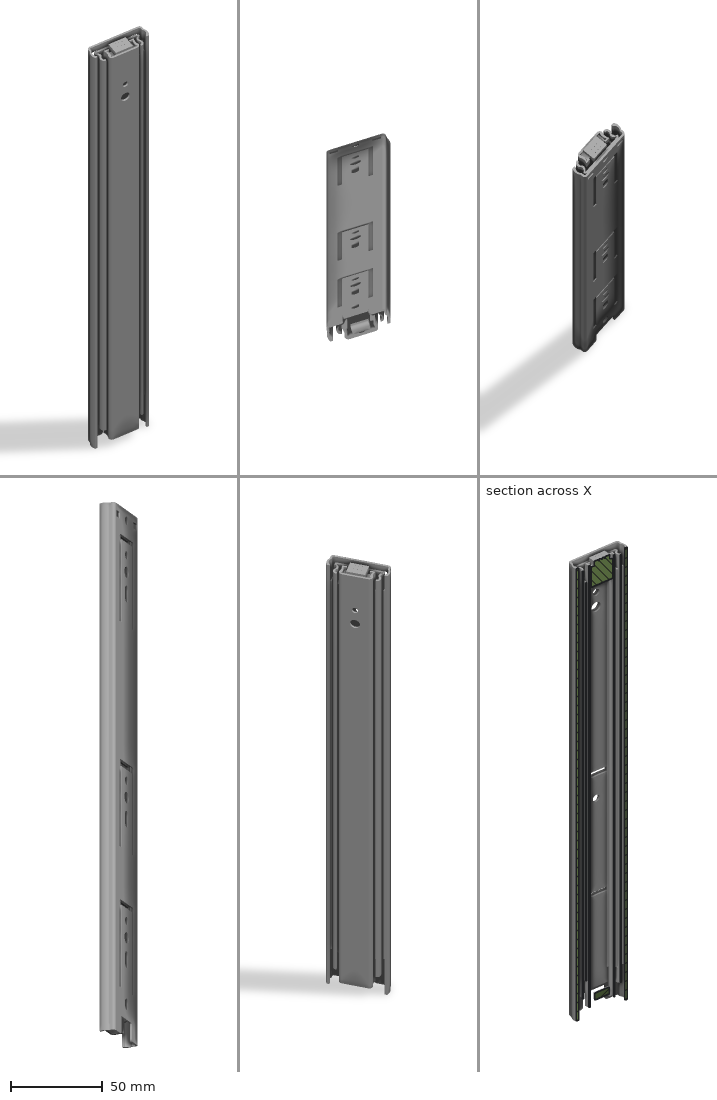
import cadquery as cq


LENGTH = 300.0
WIDTH = 36.0
DEPTH = 12.5
SHEET = 1.2
CUT = 2 * DEPTH

MIDDLE_BOTTOM = 13.0
MIDDLE_TOP = 296.7
INNER_BOTTOM = 5.5
INNER_TOP = 298.5

OUTER_HALF = WIDTH / 2
OUTER_SIDE = 17.0
OUTER_CORNER = 1.8
OUTER_RACE_START = 3.3
OUTER_DEPTH = 9.0
OUTER_LIP = 15.5

MIDDLE_BACK = 1.8
MIDDLE_HALF = 13.5
MIDDLE_SHOULDER = 14.5
MIDDLE_CORNER = 1.8
MIDDLE_RACE_BOTTOM = 12.5
MIDDLE_RACE_END = 7.5
MIDDLE_FRONT = 10.8
MIDDLE_FRONT_CORNER = 2.0
MIDDLE_LIP = 11.0

INNER_HALF = 9.5
INNER_CORNER = 2.0
INNER_BACK = 5.5
INNER_LIP = 6.5
INNER_LIP_THICKNESS = 1.0
INNER_RACE_DIP = 0.5

TABS = [(284.0, 2.7), (156.0, 3.5), (76.2, 2.7)]
TAB_HALF = 7.5
TAB_LENGTH = 49.8
TAB_GROOVE_WIDTH = 2.7
TAB_GROOVE_DEPTH = 0.5
TAB_GROOVE_CORNER = 1.8
SCREW_HOLE = 4.5
SCREW_HOLE_DROP = 10.0
ACCESS_HOLE = 6.3
ACCESS_HOLE_DROP = 19.5
SLOT_LENGTH = 9.3
SLOT_DROP = 31.8
INNER_SCREW_HOLE = 3.5
INNER_ACCESS_HOLE = 5.7
MIDDLE_RIVET_HOLE = 4.5
MIDDLE_RIVET_HOLE_Z = 137.7

TOP_HOLE_Z = 294.0
END_SLOT_Z = 19.0
END_SLOT_LENGTH = 6.3
WINDOW_INSIDE = 10.0
WINDOW_OUTSIDE = 14.7
WINDOW_BOTTOM = 292.5
WINDOW_HEIGHT = 3.5
NOTCH_HALF = 7.5
NOTCH_HEIGHT = 10.2
NOTCH_FILLET = 1.5

LUG_HALF = 5.0
LUG_BACK = 7.2
LUG_BOTTOM = 8.0
LUG_TOP = 13.5
LUG_ROUND = 2.5
DIMPLE_DIAMETER = 3.5
DIMPLE_DEPTH = 0.5

BLOCK_HALF = 5.5
BLOCK_BACK = 3.5
BLOCK_BOTTOM = 283.2
BLOCK_SHOULDER_HALF = 7.5
BLOCK_SHOULDER_BACK = 6.5
BLOCK_SHOULDER_TOP = 297.0
BLOCK_PIT_DIAMETER = 0.45
BLOCK_PIT_DEPTH = 1.0
BLOCK_PIT_PITCH_X = 2.7
BLOCK_PIT_PITCH_Y = 2.0
BLOCK_PIT_CENTER_X = 6.5

RETAINER_BOTTOM = 24.0
RETAINER_TOP = 288.0
OUTER_RETAINER_BACK = 4.0
OUTER_RETAINER_FRONT = 7.5
OUTER_RETAINER_INSIDE = 14.7
OUTER_RETAINER_THICKNESS = 0.5
INNER_RETAINER_BACK = 3.5
INNER_RETAINER_FRONT = 9.0
INNER_RETAINER_OUTSIDE = 11.0
INNER_RETAINER_LEG_END = 6.5
INNER_RETAINER_THICKNESS = 1.0


def box(x0, x1, y0, y1, z0, z1):
    """Box between two opposite corners."""
    return cq.Workplane("XY").box(x1 - x0, y1 - y0, z1 - z0, centered=False).translate((x0, y0, z0))


def rail(half_profile, bottom, top):
    """Extrude the +Y half of a rail profile and join it with its mirror image."""
    half = half_profile.close().extrude(top - bottom).translate((0, 0, bottom))
    return half.union(half.mirror("XZ"))


def web_hole(diameter, z):
    """Round cutter along X on the centre line."""
    return cq.Workplane("YZ").center(0, z).circle(diameter / 2).extrude(CUT)


def web_slot(length, z):
    """Slot cutter along X, its long side along Z."""
    return cq.Workplane("YZ").center(0, z).slot2D(length, SCREW_HOLE, 90).extrude(CUT)


def tab_window(upper_edge, height):
    """Cutter for the window above a mounting tab."""
    return box(0, MIDDLE_BACK + SHEET, -TAB_HALF, TAB_HALF, upper_edge - height, upper_edge)


def tab_grooves(upper_edge):
    """Cutter for the two grooves beside a mounting tab, rounded at their outer upper corners."""
    half = TAB_HALF + TAB_GROOVE_WIDTH
    groove = box(0, TAB_GROOVE_DEPTH, TAB_HALF, half, upper_edge - TAB_LENGTH, upper_edge)
    groove = groove.edges("|X and >Y and >Z").fillet(TAB_GROOVE_CORNER)
    return groove.union(groove.mirror("XZ"))


def make_outer_rail():
    inside_radius = OUTER_CORNER - SHEET
    side_inside = OUTER_SIDE - SHEET
    race_end = OUTER_DEPTH - SHEET
    race_mid = (OUTER_RACE_START + OUTER_DEPTH) / 2
    profile = (
        cq.Workplane("XY")
        .lineTo(0, OUTER_SIDE - OUTER_CORNER)
        .radiusArc((OUTER_CORNER, OUTER_SIDE), OUTER_CORNER)
        .lineTo(OUTER_RACE_START, OUTER_SIDE)
        .threePointArc((race_mid, OUTER_HALF), (OUTER_DEPTH, OUTER_SIDE))
        .lineTo(OUTER_DEPTH, OUTER_LIP)
        .lineTo(race_end, OUTER_LIP)
        .lineTo(race_end, side_inside)
        .threePointArc((race_mid, OUTER_HALF - SHEET), (OUTER_RACE_START, side_inside))
        .lineTo(OUTER_CORNER, side_inside)
        .radiusArc((SHEET, side_inside - inside_radius), -inside_radius)
        .lineTo(SHEET, 0)
    )
    body = rail(profile, 0, LENGTH)

    for upper_edge, window_height in TABS:
        body = body.cut(tab_grooves(upper_edge))
        body = body.cut(tab_window(upper_edge, window_height))
        body = body.cut(web_hole(SCREW_HOLE, upper_edge - SCREW_HOLE_DROP))
        body = body.cut(web_hole(ACCESS_HOLE, upper_edge - ACCESS_HOLE_DROP))
        body = body.cut(web_slot(SLOT_LENGTH, upper_edge - SLOT_DROP))

    body = body.cut(web_hole(SCREW_HOLE, TOP_HOLE_Z))
    body = body.cut(web_slot(END_SLOT_LENGTH, END_SLOT_Z))

    window = box(0, SHEET, WINDOW_INSIDE, WINDOW_OUTSIDE, WINDOW_BOTTOM, WINDOW_BOTTOM + WINDOW_HEIGHT)
    body = body.cut(window).cut(window.mirror("XZ"))

    body = body.cut(box(0, SHEET, -NOTCH_HALF, NOTCH_HALF, 0, NOTCH_HEIGHT))
    mouth = cq.selectors.BoxSelector((-SHEET, -OUTER_LIP / 2, -SHEET), (SHEET, OUTER_LIP / 2, SHEET))
    return body.edges("|X").edges(mouth).fillet(NOTCH_FILLET)


def make_middle_rail():
    web_front = MIDDLE_BACK + SHEET
    race_start = MIDDLE_BACK + MIDDLE_CORNER
    race_mid = (race_start + MIDDLE_RACE_END) / 2
    shoulder_inside = MIDDLE_SHOULDER - SHEET
    corner_inside = MIDDLE_CORNER - SHEET
    half_inside = MIDDLE_HALF - SHEET
    lip_back = MIDDLE_FRONT - SHEET
    front_corner_inside = MIDDLE_FRONT_CORNER - SHEET
    profile = (
        cq.Workplane("XY")
        .moveTo(MIDDLE_BACK, 0)
        .lineTo(MIDDLE_BACK, MIDDLE_SHOULDER - MIDDLE_CORNER)
        .radiusArc((race_start, MIDDLE_SHOULDER), MIDDLE_CORNER)
        .threePointArc((race_mid, MIDDLE_RACE_BOTTOM), (MIDDLE_RACE_END, MIDDLE_HALF))
        .lineTo(MIDDLE_FRONT - MIDDLE_FRONT_CORNER, MIDDLE_HALF)
        .radiusArc((MIDDLE_FRONT, MIDDLE_HALF - MIDDLE_FRONT_CORNER), MIDDLE_FRONT_CORNER)
        .lineTo(MIDDLE_FRONT, MIDDLE_LIP)
        .lineTo(lip_back, MIDDLE_LIP)
        .lineTo(lip_back, MIDDLE_HALF - MIDDLE_FRONT_CORNER)
        .radiusArc((MIDDLE_FRONT - MIDDLE_FRONT_CORNER, half_inside), -front_corner_inside)
        .lineTo(MIDDLE_RACE_END, half_inside)
        .threePointArc((race_mid, MIDDLE_RACE_BOTTOM - SHEET), (race_start, shoulder_inside))
        .radiusArc((web_front, shoulder_inside - corner_inside), -corner_inside)
        .lineTo(web_front, 0)
    )
    body = rail(profile, MIDDLE_BOTTOM, MIDDLE_TOP)

    for upper_edge, window_height in TABS:
        body = body.cut(tab_window(upper_edge, window_height))

    top_tab = TABS[0][0]
    body = body.cut(web_hole(SCREW_HOLE, top_tab - SCREW_HOLE_DROP))
    body = body.cut(web_hole(ACCESS_HOLE, top_tab - ACCESS_HOLE_DROP))
    return body.cut(web_hole(MIDDLE_RIVET_HOLE, MIDDLE_RIVET_HOLE_Z))


def make_inner_rail():
    web_back = DEPTH - SHEET
    half_inside = INNER_HALF - SHEET
    lip_front = INNER_BACK + INNER_LIP_THICKNESS
    race_start = DEPTH - INNER_CORNER
    race_mid = (race_start + INNER_BACK) / 2
    profile = (
        cq.Workplane("XY")
        .moveTo(DEPTH, 0)
        .lineTo(DEPTH, INNER_HALF - INNER_CORNER)
        .radiusArc((race_start, INNER_HALF), -INNER_CORNER)
        .threePointArc((race_mid, INNER_HALF - INNER_RACE_DIP), (INNER_BACK, INNER_HALF))
        .lineTo(INNER_BACK, INNER_LIP)
        .lineTo(lip_front, INNER_LIP)
        .lineTo(lip_front, half_inside)
        .threePointArc((race_mid, half_inside - INNER_RACE_DIP), (web_back, half_inside))
        .lineTo(web_back, 0)
    )
    body = rail(profile, INNER_BOTTOM, INNER_TOP)

    top_tab = TABS[0][0]
    body = body.cut(web_hole(INNER_SCREW_HOLE, top_tab - SCREW_HOLE_DROP))
    body = body.cut(web_hole(INNER_ACCESS_HOLE, top_tab - ACCESS_HOLE_DROP))

    dimple = web_hole(DIMPLE_DIAMETER, LUG_BOTTOM).intersect(
        box(0, web_back + DIMPLE_DEPTH, -LUG_HALF, LUG_HALF, INNER_BOTTOM, LUG_TOP)
    )
    lug = box(LUG_BACK, web_back, -LUG_HALF, LUG_HALF, LUG_BOTTOM, LUG_TOP)
    lug = lug.edges("|Y and <X and <Z").fillet(LUG_ROUND)
    return body.cut(dimple).union(lug)


def make_stop_block():
    """Block held in the inner rail by its shoulders, with two rows of three pits on top."""
    front = DEPTH - SHEET
    block = box(BLOCK_BACK, front, -BLOCK_HALF, BLOCK_HALF, BLOCK_BOTTOM, LENGTH)
    block = block.union(
        box(
            BLOCK_SHOULDER_BACK, front,
            -BLOCK_SHOULDER_HALF, BLOCK_SHOULDER_HALF,
            BLOCK_BOTTOM, BLOCK_SHOULDER_TOP,
        )
    )
    pits = (
        cq.Workplane("XY")
        .workplane(offset=LENGTH)
        .center(BLOCK_PIT_CENTER_X, 0)
        .rarray(BLOCK_PIT_PITCH_X, BLOCK_PIT_PITCH_Y, 2, 3)
        .circle(BLOCK_PIT_DIAMETER / 2)
        .extrude(-BLOCK_PIT_DEPTH)
    )
    return block.cut(pits)


def make_outer_retainer():
    """Flat strip between the outer and middle rails on the +Y side."""
    outside = OUTER_RETAINER_INSIDE + OUTER_RETAINER_THICKNESS
    return box(
        OUTER_RETAINER_BACK, OUTER_RETAINER_FRONT,
        OUTER_RETAINER_INSIDE, outside,
        RETAINER_BOTTOM, RETAINER_TOP,
    )


def make_inner_retainer():
    """L-shaped strip between the middle and inner rails on the +Y side."""
    leg_front = INNER_RETAINER_BACK + INNER_RETAINER_THICKNESS
    side_inside = INNER_RETAINER_OUTSIDE - INNER_RETAINER_THICKNESS
    return (
        cq.Workplane("XY")
        .workplane(offset=RETAINER_BOTTOM)
        .moveTo(INNER_RETAINER_BACK, INNER_RETAINER_LEG_END)
        .lineTo(INNER_RETAINER_BACK, INNER_RETAINER_OUTSIDE)
        .lineTo(INNER_RETAINER_FRONT, INNER_RETAINER_OUTSIDE)
        .lineTo(INNER_RETAINER_FRONT, side_inside)
        .lineTo(leg_front, side_inside)
        .lineTo(leg_front, INNER_RETAINER_LEG_END)
        .close()
        .extrude(RETAINER_TOP - RETAINER_BOTTOM)
    )


outer_rail = make_outer_rail()
middle_rail = make_middle_rail()
inner_rail = make_inner_rail()
stop_block = make_stop_block()

retainers = []
for retainer in (make_outer_retainer(), make_inner_retainer()):
    retainers.append(retainer.val())
    retainers.append(retainer.mirror("XZ").val())

result = cq.Compound.makeCompound(
    [outer_rail.val(), middle_rail.val(), inner_rail.val(), stop_block.val(), *retainers]
)